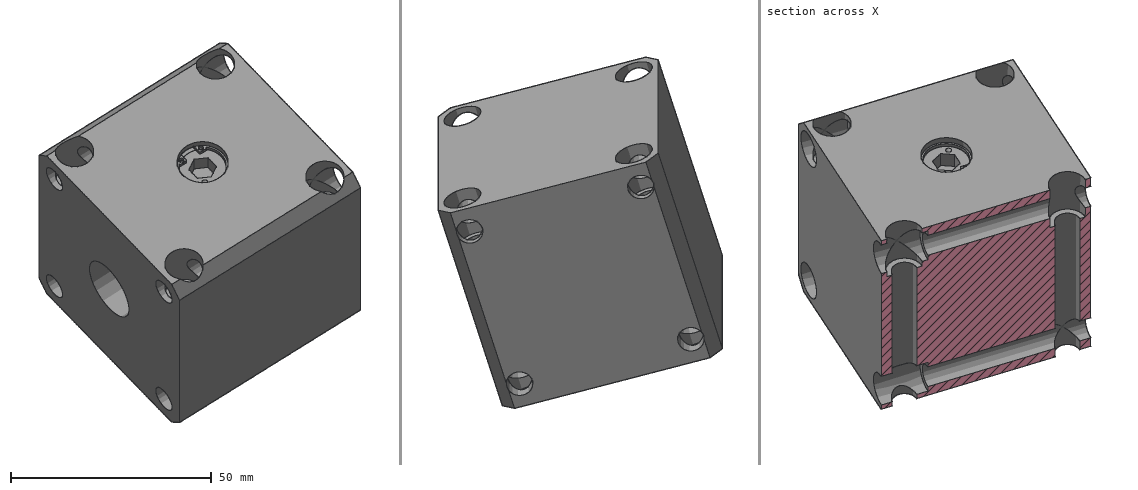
import cadquery as cq
import math

side = 57.15
half = side / 2
edge_chamfer = 3.2
hole_spacing = 44.45
hole_diameter = 6.6
counterbore_diameter = 9.55
counterbore_depth = 12.7
port_diameter = 16.0
port_depth = 28.6

cavity_y = 0.9
mouth_diameter = 12.75
mouth_depth = 2.45
seat_z = half - mouth_depth

plug_diameter = 11.65
plug_length = 6.85
hex_flats = 6.0
hex_corners = hex_flats / math.cos(math.radians(30))
hex_depth = 4.0
dimple_diameter = 1.5
dimple_depth = 0.6
dimple_radius = 4.45
dimple_angle = -31.0

ring_outer = 13.95
ring_inner = 11.8
ring_thickness = 0.85
ring_gap = 4.1
lug_inner_x = -3.8
lug_width = 2.2
lug_corner = 0.25
lug_hole_diameter = 1.25
lug_hole_x = -4.7
lug_hole_y = 3.1


def disc(diameter, bottom, height):
    """Round slug on the cavity axis."""
    return cq.Workplane("XY", origin=(0, cavity_y, bottom)).circle(diameter / 2).extrude(height)


def counterbored_holes(plane, entry):
    """Four through holes, counterbored where they leave the face that holds the entry point."""
    face = cq.Workplane(plane, origin=entry).rarray(hole_spacing, hole_spacing, 2, 2)
    inward = -1 if plane == "XY" else 1
    holes = face.circle(hole_diameter / 2).extrude(inward * side)
    return holes.union(face.circle(counterbore_diameter / 2).extrude(inward * counterbore_depth))


def make_block():
    """Chamfered cube with crossing bolt holes, a blind port and a stepped, grooved plug cavity."""
    block = cq.Workplane("XY").box(side, side, side).edges("|Y").chamfer(edge_chamfer)
    block = block.cut(counterbored_holes("XY", (0, 0, half)))
    block = block.cut(counterbored_holes("XZ", (0, half, 0)))
    port = cq.Workplane("XZ", origin=(0, -half, 0)).circle(port_diameter / 2).extrude(-port_depth)
    mouth = disc(mouth_diameter, seat_z, mouth_depth)
    groove = disc(ring_outer, seat_z, ring_thickness)
    plug_bore = disc(plug_diameter, seat_z - plug_length, plug_length)
    return block.cut(port).cut(mouth).cut(groove).cut(plug_bore)


def make_plug():
    """Round plug with a hex socket and a conical dimple in its top face."""
    plug = disc(plug_diameter, seat_z - plug_length, plug_length)
    top = cq.Workplane("XY", origin=(0, cavity_y, seat_z))
    hex_socket = top.polygon(6, hex_corners).extrude(-hex_depth)
    angle = math.radians(dimple_angle)
    dimple = cq.Solid.makeCone(
        dimple_diameter / 2,
        0,
        dimple_depth,
        pnt=cq.Vector(dimple_radius * math.cos(angle), cavity_y + dimple_radius * math.sin(angle), seat_z),
        dir=cq.Vector(0, 0, -1),
    )
    return plug.cut(hex_socket).cut(cq.Workplane(dimple))


def make_ring():
    """Open ring in the groove, with a drilled lug beside each end of its gap."""
    base = cq.Workplane("XY", origin=(0, cavity_y, seat_z))
    ring = base.circle(ring_outer / 2).circle(ring_inner / 2).extrude(ring_thickness)
    lug_length = ring_outer / 2 + lug_inner_x
    for direction in (1, -1):
        lug = (
            base.center(lug_inner_x - lug_length / 2, direction * (ring_gap + lug_width) / 2)
            .rect(lug_length, lug_width)
            .extrude(ring_thickness)
            .edges("|Z and >X")
            .fillet(lug_corner)
        )
        ring = ring.union(lug)
    ring = ring.intersect(disc(ring_outer, seat_z, ring_thickness))
    gap = base.center(-ring_outer / 2, 0).rect(ring_outer, ring_gap).extrude(ring_thickness)
    lug_holes = (
        base.pushPoints([(lug_hole_x, lug_hole_y), (lug_hole_x, -lug_hole_y)])
        .circle(lug_hole_diameter / 2)
        .extrude(ring_thickness)
    )
    return ring.cut(gap).cut(lug_holes)


block = make_block()
plug = make_plug()
ring = make_ring()
result = cq.Compound.makeCompound([block.val(), plug.val(), ring.val()])